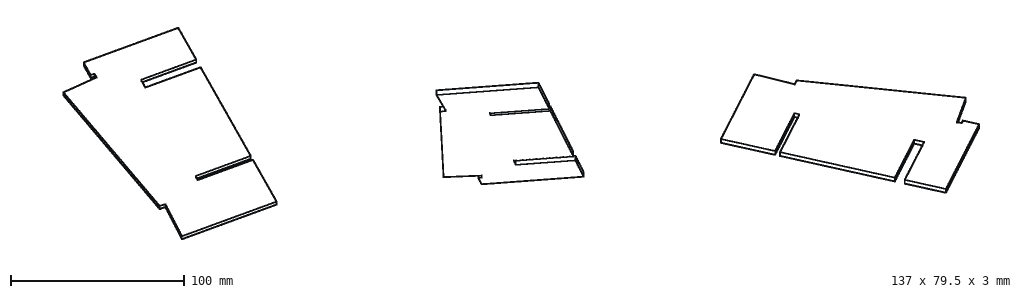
import cadquery as cq
import math

width = 136.99
total_depth = 79.53
thickness = 3.0
side_depth = 60.0

slot_depth = 35.0
left_slot_start = 25.1
left_slot_width = 6.0
right_slot_start = 101.0
right_slot_width = 3.0

notch_start = 10.0
notch_width = 2.8
notch_depth = 2.2
notch_angle = 5.5

tip_x = 14.7
taper_angle = 9.8

shoulder_start = 112.0
shoulder_angle = 1.9


def rise(run, angle):
    """Height gained over a horizontal run at an angle in degrees."""
    return run * math.tan(math.radians(angle))


def make_plate():
    notch_end = notch_start + notch_width
    tip_y = side_depth - total_depth
    taper_end_y = tip_y + rise(shoulder_start - tip_x, taper_angle)
    shoulder_y = rise(width - shoulder_start, shoulder_angle)
    outline = [
        (0, side_depth),
        (0, 0),
        (notch_start, 0),
        (notch_start, notch_depth),
        (notch_end, notch_depth + rise(notch_width, notch_angle)),
        (tip_x, tip_y),
        (shoulder_start, taper_end_y),
        (shoulder_start, shoulder_y),
        (width, 0),
        (width, side_depth),
    ]
    return cq.Workplane("XY").polyline(outline).close().extrude(thickness)


def make_slot(start, slot_width):
    return (
        cq.Workplane("XY")
        .box(slot_width, slot_depth, thickness, centered=False)
        .translate((start, side_depth - slot_depth, 0))
    )


result = make_plate()
for start, slot_width in (
    (left_slot_start, left_slot_width),
    (right_slot_start, right_slot_width),
):
    result = result.cut(make_slot(start, slot_width))